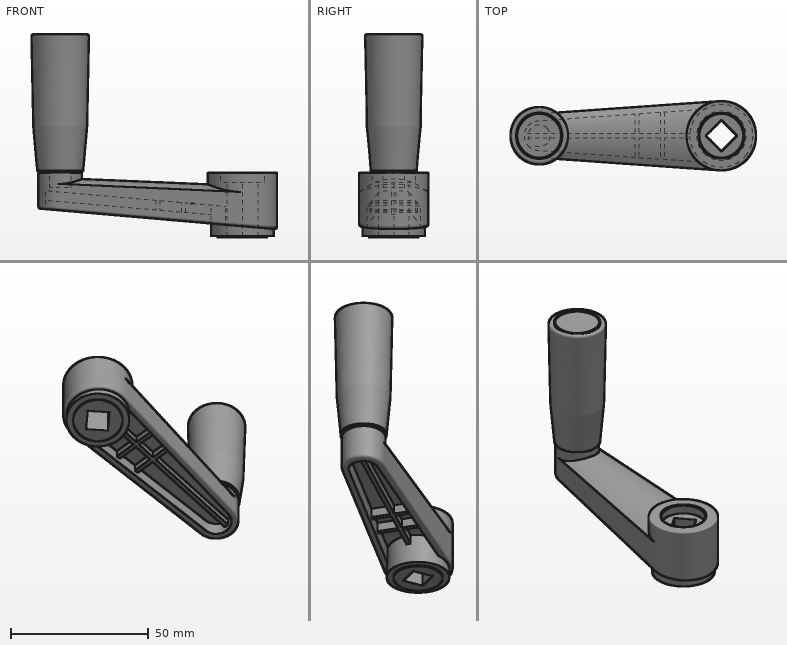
import cadquery as cq
import math

CRANK_THROW = 66.3
HUB_RADIUS = 25.3 / 2
NECK_RADIUS = 16.0 / 2
BOSS_TOP = 23.6
BOSS_EDGE_ROUND = 0.5

UNDERSIDE_NECK_Z = 9.8
UNDERSIDE_HUB_Z = 4.1
SIDE_TOP_NECK_Z = 19.5
SIDE_TOP_HUB_Z = 16.55
CROWN_NECK_Z = 21.65
CROWN_HUB_Z = 18.9
UNDERSIDE_ROUND = 1.0

SPIGOT_RADIUS = 22.9 / 2
SPIGOT_BOTTOM = 0.45
SPIGOT_ROOT = 14.3
PAD_RADIUS = 18.0 / 2
COUNTERBORE_RADIUS = 16.0 / 2
COUNTERBORE_DEPTH = 3.6
COUNTERBORE_CHAMFER = 0.4
SQUARE_HOLE = 8.0

RIM_WIDTH = 2.6
HOLLOW_DEPTH = 6.7
RIB_RECESS = 3.2
RIB_WIDTH = 1.5
CROSS_RIB_FROM_HUB = 22.2
CROSS_RIB_PITCH = 9.3
CROSS_RIB_COUNT = 2

HANDLE_TOP = 74.0
HANDLE_BOTTOM = 24.0
HANDLE_TOP_RADIUS = 21.0 / 2
HANDLE_WAIST_Z = 40.3
HANDLE_WAIST_RADIUS = 19.7 / 2
HANDLE_BOTTOM_RADIUS = 16.8 / 2
HANDLE_TOP_ROUND = 1.0
HANDLE_BOTTOM_CHAMFER = 0.4
CAP_GROOVE_RADIUS = 16.8 / 2
CAP_RADIUS = 16.0 / 2
SPINDLE_RADIUS = 8.0 / 2
SPINDLE_DEPTH = 5.4

SIDE_SIN = (HUB_RADIUS - NECK_RADIUS) / CRANK_THROW
SIDE_COS = math.sqrt(1 - SIDE_SIN**2)
NECK_TANGENT_X = -CRANK_THROW - NECK_RADIUS * SIDE_SIN
HUB_TANGENT_X = -HUB_RADIUS * SIDE_SIN
NECK_TANGENT_Y = NECK_RADIUS * SIDE_COS
HUB_TANGENT_Y = HUB_RADIUS * SIDE_COS


def cylinder(radius, bottom, top, x=0.0):
    return cq.Workplane("XY", origin=(x, 0, bottom)).circle(radius).extrude(top - bottom)


def footprint(inset):
    """Prism of the arm outline, moved inward by the inset and as high as the bosses."""
    neck = NECK_RADIUS - inset
    hub = HUB_RADIUS - inset
    neck_x = -CRANK_THROW - neck * SIDE_SIN
    hub_x = -hub * SIDE_SIN
    return (
        cq.Workplane("XY")
        .moveTo(neck_x, neck * SIDE_COS)
        .lineTo(hub_x, hub * SIDE_COS)
        .threePointArc((hub, 0), (hub_x, -hub * SIDE_COS))
        .lineTo(neck_x, -neck * SIDE_COS)
        .threePointArc((-CRANK_THROW - neck, 0), (neck_x, neck * SIDE_COS))
        .close()
        .extrude(BOSS_TOP)
    )


def height_on_line(x, neck_z, hub_z):
    """Height at x of the straight line through the two tangent stations."""
    return neck_z + (hub_z - neck_z) * (x - NECK_TANGENT_X) / (HUB_TANGENT_X - NECK_TANGENT_X)


def sloped_slab(lower, upper):
    """Slab between two sloped planes, each a pair of heights at the neck and at the hub."""
    left = -CRANK_THROW - 2 * NECK_RADIUS
    right = 2 * HUB_RADIUS
    return (
        cq.Workplane("XZ")
        .polyline([
            (left, height_on_line(left, *lower)),
            (right, height_on_line(right, *lower)),
            (right, height_on_line(right, *upper)),
            (left, height_on_line(left, *upper)),
        ])
        .close()
        .extrude(2 * HUB_RADIUS, both=True)
    )


def above_underside(offset):
    return (UNDERSIDE_NECK_Z + offset, UNDERSIDE_HUB_Z + offset)


def arm_web():
    """Tapered arm with a sloping underside and flat sides."""
    slab = sloped_slab(above_underside(0), (SIDE_TOP_NECK_Z, SIDE_TOP_HUB_Z))
    web = footprint(0).intersect(slab)
    return web.faces("<Z").edges().fillet(UNDERSIDE_ROUND)


def arm_crown():
    """Arched top of the arm, ruled between an arc at the neck and an arc at the hub."""
    def section(x, half_width, side_z, crown_z):
        left = cq.Vector(x, -half_width, side_z)
        right = cq.Vector(x, half_width, side_z)
        arch = cq.Edge.makeThreePointArc(left, cq.Vector(x, 0, crown_z), right)
        return cq.Wire.assembleEdges([arch, cq.Edge.makeLine(right, left)])

    neck = section(NECK_TANGENT_X, NECK_TANGENT_Y, SIDE_TOP_NECK_Z, CROWN_NECK_Z)
    hub = section(HUB_TANGENT_X, HUB_TANGENT_Y, SIDE_TOP_HUB_Z, CROWN_HUB_Z)
    return cq.Workplane(cq.Solid.makeLoft([neck, hub], True))


def boss(radius, x):
    """Round boss standing on the plane through the top edges of the web."""
    full = cylinder(radius, 0, BOSS_TOP, x).faces(">Z").edges().fillet(BOSS_EDGE_ROUND)
    above_web = sloped_slab((SIDE_TOP_NECK_Z, SIDE_TOP_HUB_Z), (BOSS_TOP + radius, BOSS_TOP + radius))
    return full.intersect(above_web)


def ribs():
    """One rib along the arm and the cross ribs, all recessed from the underside."""
    length = CRANK_THROW + NECK_RADIUS
    grid = cq.Workplane("XY").box(length, RIB_WIDTH, BOSS_TOP, centered=(True, True, False))
    grid = grid.translate((-length / 2, 0, 0))
    for index in range(CROSS_RIB_COUNT):
        x = -CROSS_RIB_FROM_HUB - index * CROSS_RIB_PITCH
        cross = cq.Workplane("XY").box(RIB_WIDTH, 2 * HUB_RADIUS, BOSS_TOP, centered=(False, True, False))
        grid = grid.union(cross.translate((x, 0, 0)))
    ceiling = above_underside(HOLLOW_DEPTH + RIB_WIDTH)
    envelope = footprint(RIM_WIDTH / 2).intersect(sloped_slab(above_underside(RIB_RECESS), ceiling))
    return grid.intersect(envelope)


def underside_hollow():
    slab = sloped_slab(above_underside(-HOLLOW_DEPTH), above_underside(HOLLOW_DEPTH))
    return footprint(RIM_WIDTH).intersect(slab)


def counterbore():
    floor = BOSS_TOP - COUNTERBORE_DEPTH
    bore = cylinder(COUNTERBORE_RADIUS, floor, BOSS_TOP)
    mouth = cq.Workplane("XY").add(cq.Solid.makeCone(
        COUNTERBORE_RADIUS,
        COUNTERBORE_RADIUS + COUNTERBORE_CHAMFER,
        COUNTERBORE_CHAMFER,
        pnt=cq.Vector(0, 0, BOSS_TOP - COUNTERBORE_CHAMFER),
    ))
    return bore.union(mouth)


def square_hole():
    """Through hole whose corners lie on the X and Y axes."""
    hole = cq.Workplane("XY").rect(SQUARE_HOLE, SQUARE_HOLE).extrude(BOSS_TOP)
    return hole.rotate((0, 0, 0), (0, 0, 1), 45)


def make_arm():
    arm = arm_web().union(arm_crown())
    arm = arm.union(boss(NECK_RADIUS, -CRANK_THROW), clean=False)
    arm = arm.union(boss(HUB_RADIUS, 0), clean=False)
    arm = arm.cut(underside_hollow()).union(ribs(), clean=False)
    arm = arm.union(cylinder(SPIGOT_RADIUS, SPIGOT_BOTTOM, SPIGOT_ROOT), clean=False)
    arm = arm.union(cylinder(PAD_RADIUS, 0, SPIGOT_ROOT), clean=False)
    arm = arm.cut(counterbore()).cut(square_hole())
    return arm.cut(cylinder(SPINDLE_RADIUS, BOSS_TOP - SPINDLE_DEPTH, BOSS_TOP, -CRANK_THROW))


def make_handle():
    """Turned grip with a grooved end cap and the spindle that enters the neck."""
    groove_depth = CAP_GROOVE_RADIUS - CAP_RADIUS
    round_offset = HANDLE_TOP_ROUND * (1 - math.sqrt(0.5))
    return (
        cq.Workplane("XZ", origin=(-CRANK_THROW, 0, 0))
        .moveTo(0, BOSS_TOP - SPINDLE_DEPTH)
        .lineTo(SPINDLE_RADIUS, BOSS_TOP - SPINDLE_DEPTH)
        .lineTo(SPINDLE_RADIUS, HANDLE_BOTTOM)
        .lineTo(HANDLE_BOTTOM_RADIUS - HANDLE_BOTTOM_CHAMFER, HANDLE_BOTTOM)
        .lineTo(HANDLE_BOTTOM_RADIUS, HANDLE_BOTTOM + HANDLE_BOTTOM_CHAMFER)
        .lineTo(HANDLE_WAIST_RADIUS, HANDLE_WAIST_Z)
        .lineTo(HANDLE_TOP_RADIUS, HANDLE_TOP - HANDLE_TOP_ROUND)
        .threePointArc(
            (HANDLE_TOP_RADIUS - round_offset, HANDLE_TOP - round_offset),
            (HANDLE_TOP_RADIUS - HANDLE_TOP_ROUND, HANDLE_TOP),
        )
        .lineTo(CAP_GROOVE_RADIUS, HANDLE_TOP)
        .lineTo(CAP_GROOVE_RADIUS, HANDLE_TOP - groove_depth)
        .lineTo(CAP_RADIUS, HANDLE_TOP)
        .lineTo(0, HANDLE_TOP)
        .close()
        .revolve(360, (0, 0, 0), (0, 1, 0))
    )


arm = make_arm()
handle = make_handle()
result = cq.Compound.makeCompound([arm.solids().val(), handle.solids().val()])